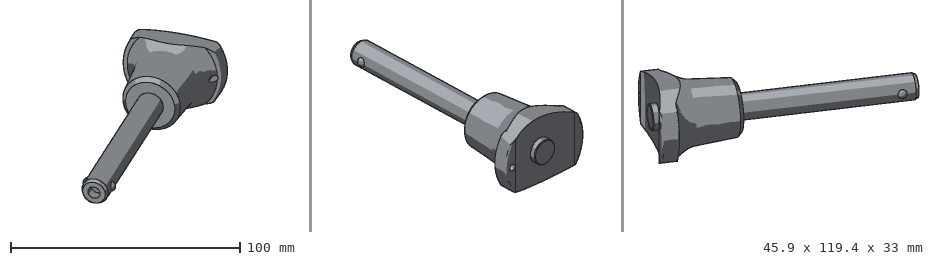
import math

import cadquery as cq


pin_radius = 12.0 / 2
pin_length = 80.0
tip_chamfer_length = 1.6
tip_chamfer_depth = 0.8
tip_bore_diameter = 5.5
tip_bore_depth = 5.0

ball_radius = 4.5 / 2
ball_reach = 7.4
ball_to_tip = 7.65

grip_height = 39.4
grip_base_radius = 13.2
grip_base_chamfer = 1.9
cone_top_radius = 14.85
cone_top_y = 22.0
flare_mid_radius = 16.45
flare_mid_y = 26.1
flare_top_radius = 20.65

rim_height = 8.0
rim_top_radius = 23.0
rim_bottom_radius = 22.7
rim_top_fillet = 0.8
rim_bottom_fillet = 0.6
rim_bottom_y = grip_height - rim_height

handle_half_width = 16.5
side_arc_radius = 50.0
corner_radius = 6.0

saddle_radius = 50.0
saddle_depth = 3.2

button_radius = 6.0
button_chamfer = 0.4

lanyard_hole_diameter = 3.1
lanyard_hole_x = 19.4


def along_y(start_y):
    """Workplane at start_y whose normal is +Y."""
    return cq.Workplane("XZ", origin=(0, start_y, 0)).transformed(rotate=(180, 0, 0))


def revolve_about_y(profile):
    return profile.close().revolve(360, (0, 0, 0), (0, 1, 0))


def grip_cone_and_flare():
    profile = (
        cq.Workplane("XY")
        .lineTo(grip_base_radius - grip_base_chamfer, 0)
        .lineTo(grip_base_radius, grip_base_chamfer)
        .lineTo(cone_top_radius, cone_top_y)
        .threePointArc((flare_mid_radius, flare_mid_y), (flare_top_radius, rim_bottom_y))
        .lineTo(0, rim_bottom_y)
    )
    return revolve_about_y(profile)


def rim():
    profile = (
        cq.Workplane("XY")
        .moveTo(0, rim_bottom_y)
        .lineTo(rim_bottom_radius, rim_bottom_y)
        .lineTo(rim_top_radius, grip_height)
        .lineTo(0, grip_height)
    )
    disc = revolve_about_y(profile)
    disc = disc.faces(">Y").edges().fillet(rim_top_fillet)
    return disc.faces("<Y").edges().fillet(rim_bottom_fillet)


def handle_outline():
    """Prism with bowed long sides, rounded corners and ends left outside the rim."""
    side_center_drop = side_arc_radius - handle_half_width
    to_rim_center = rim_top_radius - corner_radius
    to_side_center = side_arc_radius - corner_radius
    corner_z = (to_side_center**2 - to_rim_center**2 - side_center_drop**2) / (2 * side_center_drop)
    corner_x = math.sqrt(to_rim_center**2 - corner_z**2)
    side_angle = math.atan2(corner_z + side_center_drop, corner_x)
    end_angle = math.atan2(corner_z, corner_x)
    mid_angle = (side_angle + end_angle) / 2

    def corner_point(angle, x_sign, z_sign):
        x = corner_x + corner_radius * math.cos(angle)
        z = corner_z + corner_radius * math.sin(angle)
        return (x_sign * x, z_sign * z)

    end_x = rim_top_radius / math.cos(end_angle)
    outline = along_y(0).moveTo(end_x, 0)
    for z_sign in (1, -1):
        near = z_sign
        far = -z_sign
        outline = (
            outline.lineTo(*corner_point(end_angle, near, z_sign))
            .threePointArc(corner_point(mid_angle, near, z_sign), corner_point(side_angle, near, z_sign))
            .threePointArc((0, z_sign * handle_half_width), corner_point(side_angle, far, z_sign))
            .threePointArc(corner_point(mid_angle, far, z_sign), corner_point(end_angle, far, z_sign))
            .lineTo(far * end_x, 0)
        )
    return outline.close().extrude(grip_height)


def saddle_cutter():
    center_y = grip_height - saddle_depth + saddle_radius
    return (
        cq.Workplane("XY")
        .center(0, center_y)
        .circle(saddle_radius)
        .extrude(2 * handle_half_width, both=True)
    )


def lanyard_hole():
    return along_y(0).center(lanyard_hole_x, 0).circle(lanyard_hole_diameter / 2).extrude(grip_height)


def handle():
    body = grip_cone_and_flare().union(rim())
    return body.intersect(handle_outline()).cut(saddle_cutter()).cut(lanyard_hole())


def button():
    post = along_y(rim_bottom_y).circle(button_radius).extrude(rim_height)
    return post.faces(">Y").chamfer(button_chamfer)


def pin():
    tip_y = -pin_length
    profile = (
        cq.Workplane("XY")
        .lineTo(pin_radius, 0)
        .lineTo(pin_radius, tip_y + tip_chamfer_length)
        .lineTo(pin_radius - tip_chamfer_depth, tip_y)
        .lineTo(0, tip_y)
    )
    return revolve_about_y(profile)


def locking_balls():
    ball_y = ball_to_tip - pin_length
    ball_x = ball_reach - ball_radius
    return cq.Workplane("XY").pushPoints([(ball_x, ball_y), (-ball_x, ball_y)]).sphere(ball_radius)


def tip_bore():
    return along_y(-pin_length).circle(tip_bore_diameter / 2).extrude(tip_bore_depth)


result = handle().union(button()).union(pin()).union(locking_balls()).cut(tip_bore())